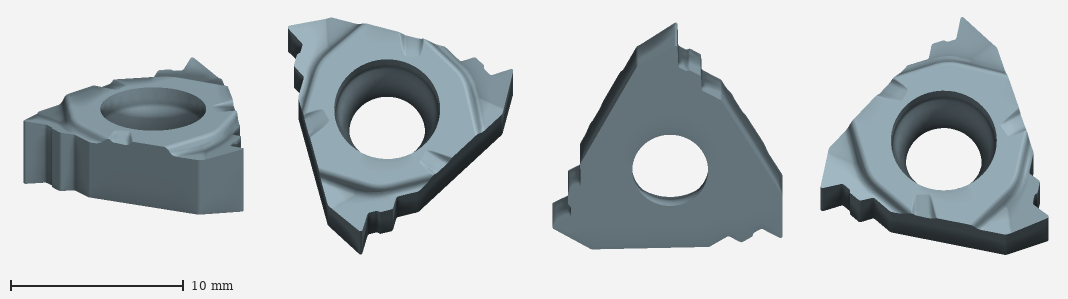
import cadquery as cq
import math

CORNERS = 3
CORNER_STEP = 360 / CORNERS

thickness = 3.97
side_distance = 4.77
heel_y = -4.68
heel_radius = 0.32

tip_x = -3.35
tip_y = -7.01
flank_angle = 60
tip_radius = 0.12
root_y = -5.81
crest_y = -5.96
shoulder_radius = 0.24
shoulder_y = -5.21
step_x = -2.11
crest_end_x = -1.22
profile_radius = 0.19
step_radius = 0.15

hole_radius = 4.4 / 2
mouth_radius = 3.07
mouth_base_radius = 2.99
mouth_depth = 0.98
seat_start_radius = 2.91
seat_radius = 4.24
seat_depth = 3.55

tooth_slope = 15
heel_slope = 5
heel_depth = 0.51
wall_y = -4.61
wall_bend_x = -1.71
wall_bend_angle = 32.2
wall_bend_radius = 2.4
wall_taper = 30
blend_radius = 0.33
foot_edge_slope = 0.2
pocket_reach = 8.02
pocket_depth = 1.2

notch_end = (-3.51, 0.53)
notch_heading = 14.5
notch_floor_slope = 11.3
notch_floor_width = 0.92
notch_wall_angle = 45
notch_radius = 0.3
notch_rim_radius = 0.11
notch_height = 0.8
notch_length = 2.67


def around(solid):
    """The solid repeated at all three corners."""
    return [solid.rotate((0, 0, 0), (0, 0, 1), i * CORNER_STEP) for i in range(CORNERS)]


def turned(point, angle):
    """A point turned about the centre."""
    c = math.cos(math.radians(angle))
    s = math.sin(math.radians(angle))
    return (c * point[0] - s * point[1], s * point[0] + c * point[1])


def corner_points():
    """Sharp outline of one corner with the rounding radius of each point."""
    flank_rise = math.tan(math.radians(flank_angle))
    root_x = tip_x + (root_y - tip_y) / flank_rise
    ramp_x = step_x + root_y - crest_y
    shoulder_x = crest_end_x + (shoulder_y - crest_y) / flank_rise
    next_side_x = 2 * (side_distance + math.sin(math.radians(CORNER_STEP / 2)) * shoulder_y)
    return [
        ((-side_distance, heel_y), heel_radius),
        ((tip_x, tip_y), tip_radius),
        ((root_x, root_y), profile_radius),
        ((step_x, root_y), step_radius),
        ((ramp_x, crest_y), step_radius),
        ((crest_end_x, crest_y), profile_radius),
        ((shoulder_x, shoulder_y), profile_radius),
        ((next_side_x, shoulder_y), shoulder_radius),
    ]


def make_body():
    corner = corner_points()
    outline = [(turned(p, i * CORNER_STEP), r) for i in range(CORNERS) for p, r in corner]
    body = cq.Workplane("XY").polyline([p for p, _ in outline]).close().extrude(-thickness)
    for (x, y), radius in outline:
        edge = cq.selectors.NearestToPointSelector((x, y, -thickness / 2))
        body = body.edges(edge).fillet(radius)
    return body


def make_hole():
    turn = math.acos(1 - (seat_start_radius - hole_radius) / seat_radius)
    seat_start_depth = seat_depth - seat_radius * math.sin(turn)
    seat_middle = (
        hole_radius + seat_radius * (1 - math.cos(turn / 2)),
        -seat_depth + seat_radius * math.sin(turn / 2),
    )
    return (
        cq.Workplane("XZ")
        .moveTo(0, 0)
        .lineTo(mouth_radius, 0)
        .lineTo(mouth_base_radius, -mouth_depth)
        .tangentArcPoint((seat_start_radius, -seat_start_depth), relative=False)
        .threePointArc(seat_middle, (hole_radius, -seat_depth))
        .lineTo(hole_radius, -thickness)
        .lineTo(0, -thickness)
        .close()
        .revolve(360, (0, 0, 0), (0, 1, 0))
    )


def make_land():
    """Raised middle of the top, bounded by the tapered and rounded pocket wall."""
    bend = math.radians(wall_bend_angle)
    tangent = wall_bend_radius * math.tan(bend / 2)
    bend_start = (wall_bend_x - tangent * math.cos(bend), wall_y + tangent * math.sin(bend))
    bend_middle = (
        wall_bend_x + tangent - wall_bend_radius * math.sin(bend / 2),
        wall_y + wall_bend_radius * (1 - math.cos(bend / 2)),
    )
    far = 2 * pocket_reach
    land = (
        cq.Workplane("XY")
        .moveTo(wall_bend_x - far * math.cos(bend), wall_y + far * math.sin(bend))
        .lineTo(*bend_start)
        .threePointArc(bend_middle, (wall_bend_x + tangent, wall_y))
        .lineTo(far, wall_y)
        .lineTo(far, far)
        .close()
        .extrude(-pocket_depth, taper=-wall_taper)
    )
    return land.edges(cq.selectors.NearestToPointSelector((*bend_middle, 0))).fillet(blend_radius)


def space_above(origin, normal):
    """A large block resting on a sloping plane."""
    plane = cq.Plane(origin=origin, xDir=(1, 0, -normal[0] / normal[2]), normal=normal)
    return cq.Workplane(plane).rect(4 * pocket_reach, 4 * pocket_reach).extrude(2 * pocket_reach)


def is_foot_edge(edge):
    """True for the low, gently sloping edges where pocket floors and walls meet."""
    span = edge.endPoint() - edge.startPoint()
    return edge.Center().z < -heel_depth / 2 and abs(span.z) < foot_edge_slope * span.Length


def make_pocket():
    tooth_normal = (0, math.tan(math.radians(tooth_slope)), 1)
    heel_normal = (math.tan(math.radians(heel_slope)), 0, 1)
    pocket = (
        cq.Workplane("XY")
        .box(2 * pocket_reach, 2 * pocket_reach, 2 * pocket_depth)
        .translate((-side_distance / 2, -pocket_reach, 0))
        .intersect(space_above((tip_x, tip_y + tip_radius, 0), tooth_normal))
        .intersect(space_above((-side_distance, 0, -heel_depth), heel_normal))
        .cut(make_land())
    )
    foot_edges = pocket.edges().filter(is_foot_edge)
    return foot_edges.fillet(blend_radius)


def make_notch():
    """Tapered groove whose floor climbs to the top face."""
    flare = notch_height / math.tan(math.radians(notch_wall_angle))
    half = notch_floor_width / 2
    notch = (
        cq.Workplane("YZ")
        .polyline([(-half, 0), (half, 0), (half + flare, notch_height), (-half - flare, notch_height)])
        .close()
        .extrude(-notch_length)
    )
    notch = notch.faces("<Z").edges("|X").fillet(notch_radius)
    return (
        notch.rotate((0, 0, 0), (0, 1, 0), -notch_floor_slope)
        .rotate((0, 0, 0), (0, 0, 1), notch_heading)
        .translate((*notch_end, 0))
    )


def round_notch_rims(part):
    for i in range(CORNERS):
        rim = cq.selectors.NearestToPointSelector((*turned(notch_end, i * CORNER_STEP), 0))
        part = part.edges(rim).fillet(notch_rim_radius)
    return part


result = make_body().cut(make_hole())
for cutter in around(make_pocket()) + around(make_notch()):
    result = result.cut(cutter)
result = round_notch_rims(result)